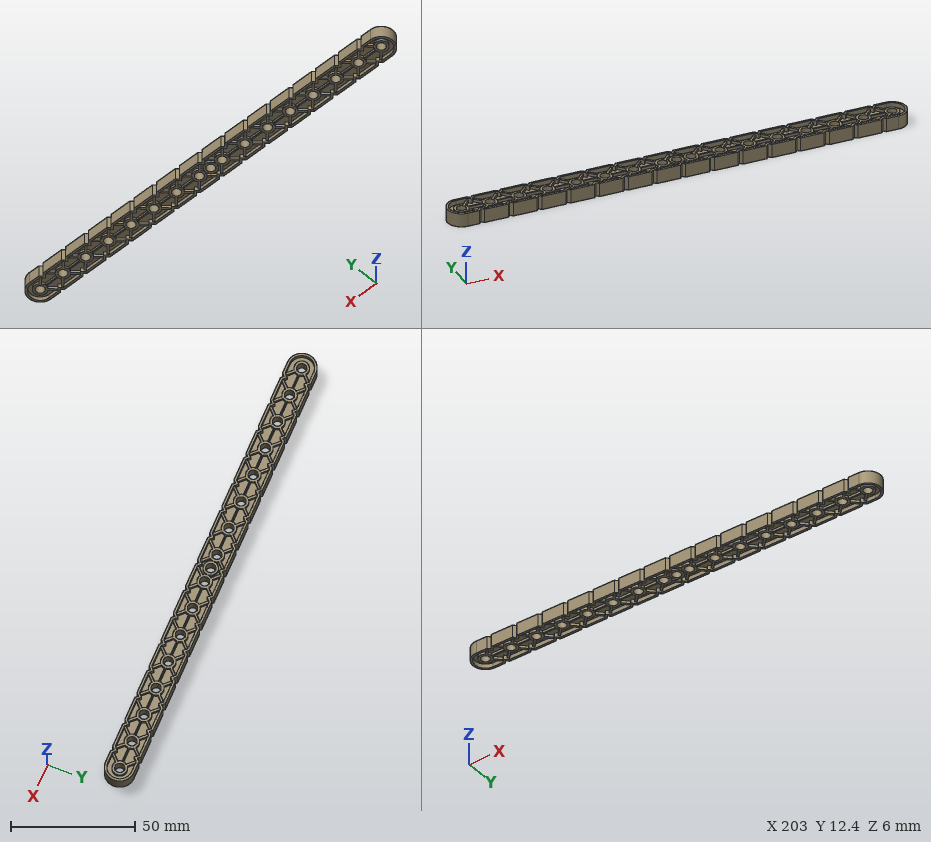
import cadquery as cq
import math

length = 203.0
width = 12.4
height = 6.0
end_radius = width / 2

hole_count = 16
end_hole_x = length / 2 - end_radius
pitch = 2 * end_hole_x / (hole_count - 1)
hole_diameter = 4.0
collar_diameter = 6.3
hole_xs = [i * pitch - end_hole_x for i in range(hole_count)]
gap_xs = [x + pitch / 2 for x in hole_xs[:-1]]
collar_centres = [(x, 0) for x in hole_xs + [0.0]]

wall = 1.0
spine_thickness = 0.6
skew_wall = wall * math.sqrt(2)
rail_y = width / 2 - wall
rail_x = rail_y - skew_wall / 2

notch_width = 2.2
notch_apex_y = width / 2 - notch_width / 2
notch_wall_tip_y = notch_apex_y - skew_wall

lattice_depth = 0.8
floor_depth = 2.0


def prism(points, thickness):
    """Closed polygon extruded upward from Z = 0."""
    return cq.Workplane("XY").polyline(points).close().extrude(thickness)


def discs(diameter, thickness):
    """Discs at every hole position, standing on Z = 0."""
    return cq.Workplane("XY").pushPoints(collar_centres).circle(diameter / 2).extrude(thickness)


def group(solids):
    """Separate solids gathered into one workplane object."""
    return cq.Workplane("XY").newObject([cq.Compound.makeCompound(solids)])


def copies(solid, xs):
    """Copies of a solid at several X positions along both long sides."""
    both_sides = solid.vals() + solid.mirror("XZ").vals()
    return [s.moved(cq.Location(cq.Vector(x, 0, 0))) for x in xs for s in both_sides]


def wedges(apex_y, thickness):
    """V prisms pointing inward from the side faces at every gap, standing on Z = 0."""
    half_width = width / 2 - apex_y
    points = [(-half_width, width / 2), (0, apex_y), (half_width, width / 2)]
    return group(copies(prism(points, thickness), gap_xs))


def recess():
    """Shallow recess inside the rails and the notch walls."""
    inner_slot = cq.Workplane("XY").slot2D(length - 2 * wall, width - 2 * wall).extrude(lattice_depth)
    return inner_slot.cut(wedges(notch_wall_tip_y, lattice_depth))


def gap_pocket():
    """Pocket between two holes: spine below, diagonal ribs beside, notch wall above."""
    rib_reach = pitch / 2 - skew_wall / 2
    spine_y = spine_thickness / 2
    base_x = rib_reach - spine_y
    shoulder_x = (rib_reach - notch_wall_tip_y) / 2
    shoulder_y = rib_reach - shoulder_x
    points = [
        (-base_x, spine_y),
        (base_x, spine_y),
        (shoulder_x, shoulder_y),
        (0, notch_wall_tip_y),
        (-shoulder_x, shoulder_y),
    ]
    return prism(points, floor_depth)


def side_pocket():
    """Pocket between a hole and a side rail, bounded by two diagonal ribs."""
    return prism([(0, skew_wall / 2), (rail_x, rail_y), (-rail_x, rail_y)], floor_depth)


def end_pocket():
    """Pocket wrapping the outer side of the left end hole, up to its two diagonal ribs."""
    pocket = (
        cq.Workplane("XY")
        .moveTo(0, -rail_y)
        .lineTo(rail_x, -rail_y)
        .lineTo(-skew_wall / 2, 0)
        .lineTo(rail_x, rail_y)
        .lineTo(0, rail_y)
        .threePointArc((-rail_y, 0), (0, -rail_y))
        .close()
        .extrude(floor_depth)
    )
    return pocket.translate((-end_hole_x, 0, 0))


def pockets():
    """Every deep pocket of one face, kept clear of the collars."""
    left_end = end_pocket()
    solids = left_end.vals() + left_end.mirror("YZ").vals()
    solids += copies(gap_pocket(), gap_xs)
    solids += copies(side_pocket(), hole_xs[1:-1])
    return group(solids).cut(discs(collar_diameter, floor_depth))


def cut_both_faces(solid, cutter, depth):
    """Sink a cutter of the given depth into the top and the bottom face."""
    top_cutter = cutter.translate((0, 0, height / 2 - depth))
    return solid.cut(top_cutter).cut(top_cutter.mirror("XY"))


beam = cq.Workplane("XY").slot2D(length, width).extrude(height / 2, both=True)
beam = cut_both_faces(beam, recess(), lattice_depth)
beam = cut_both_faces(beam, pockets(), floor_depth)
through_cuts = [wedges(notch_apex_y, height), discs(hole_diameter, height)]
for through_cut in through_cuts:
    beam = beam.cut(through_cut.translate((0, 0, -height / 2)))
result = beam